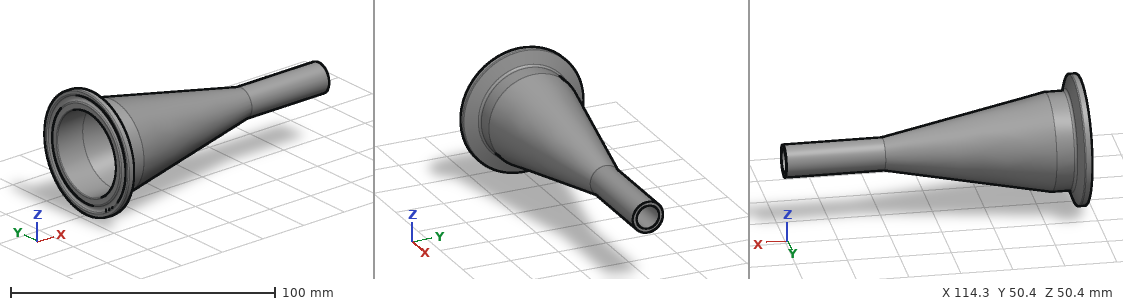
import cadquery as cq
import math

total_length = 114.3
ferrule_length = 12.7
taper_end = 76.2

large_outer_dia = 38.1
large_bore_dia = 34.7
small_outer_dia = 12.7
small_bore_dia = 9.4
bore_mouth_fillet = 0.3

flange_dia = 50.4
rim_width = 2.9
back_angle = 20.0
face_edge_fillet = 0.5
rim_back_fillet = 0.5
neck_fillet = 1.1

groove_center_dia = 43.5
groove_width = 2.5
groove_depth = 1.1
groove_lip_fillet = 0.7


def revolve_about_x(profile):
    """Turn a closed profile (X = axial, Y = radius) about the X axis."""
    return profile.close().revolve(360, (0, 0, 0), (1, 0, 0))


def fillet_circle(body, x, diameter, radius):
    """Round the circular edge of the given diameter that lies at station x."""
    tolerance = 0.06
    reach = diameter / 2 + tolerance
    edges = body.edges("%CIRCLE").edges(
        cq.selectors.BoxSelector(
            (x - tolerance, -reach, -reach), (x + tolerance, reach, reach), boundingbox=True
        )
    )
    matching = edges.filter(lambda edge: abs(edge.radius() - diameter / 2) < tolerance)
    return matching.fillet(radius)


def make_outer_body():
    flange_radius = flange_dia / 2
    large_radius = large_outer_dia / 2
    small_radius = small_outer_dia / 2
    neck_x = rim_width + (flange_radius - large_radius) * math.tan(math.radians(back_angle))

    profile = (
        cq.Workplane("XY")
        .moveTo(0, 0)
        .lineTo(0, flange_radius)
        .lineTo(rim_width, flange_radius)
        .lineTo(neck_x, large_radius)
        .lineTo(ferrule_length, large_radius)
        .lineTo(taper_end, small_radius)
        .lineTo(total_length, small_radius)
        .lineTo(total_length, 0)
    )
    body = revolve_about_x(profile)
    body = fillet_circle(body, 0, flange_dia, face_edge_fillet)
    body = fillet_circle(body, rim_width, flange_dia, rim_back_fillet)
    return fillet_circle(body, neck_x, large_outer_dia, neck_fillet)


def make_bore():
    profile = (
        cq.Workplane("XY")
        .moveTo(0, 0)
        .lineTo(0, large_bore_dia / 2)
        .lineTo(ferrule_length, large_bore_dia / 2)
        .lineTo(taper_end, small_bore_dia / 2)
        .lineTo(total_length, small_bore_dia / 2)
        .lineTo(total_length, 0)
    )
    return revolve_about_x(profile)


def cut_gasket_groove(body):
    """Cut the round-bottomed ring groove and round both of its lips."""
    inner_dia = groove_center_dia - groove_width
    outer_dia = groove_center_dia + groove_width
    profile = (
        cq.Workplane("XY")
        .moveTo(0, inner_dia / 2)
        .threePointArc((groove_depth, groove_center_dia / 2), (0, outer_dia / 2))
    )
    body = body.cut(revolve_about_x(profile))
    for lip_dia in (inner_dia, outer_dia):
        body = fillet_circle(body, 0, lip_dia, groove_lip_fillet)
    return body


body = make_outer_body().cut(make_bore())
body = fillet_circle(body, 0, large_bore_dia, bore_mouth_fillet)
result = cut_gasket_groove(body)